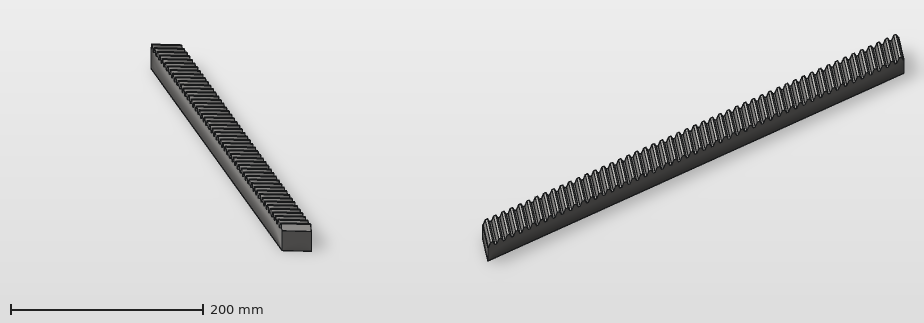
import cadquery as cq
import math

overall_length = 509.5
width = 29.0
height = 29.0
tooth_count = 50
helix_angle = 19.5
tooth_depth = 6.5
end_clearance = 0.3
land_width = 2.75
root_width = 2.15

end_shift = width * math.tan(math.radians(helix_angle))
face_length = overall_length - end_shift
pitch = (face_length + 2 * end_clearance) / tooth_count
flank_run = (pitch - land_width - root_width) / 2
root_z = height - tooth_depth


def tooth_points(index):
    """Points of one tooth, from the foot of its left flank to the foot of its right flank."""
    center = (index + 0.5) * pitch - end_clearance
    half_land = land_width / 2
    half_foot = half_land + flank_run
    return [
        (center - half_foot, root_z),
        (center - half_land, height),
        (center + half_land, height),
        (center + half_foot, root_z),
    ]


def rack_outline():
    """Front face outline; the rack starts and ends near the middle of a tooth gap."""
    points = [(0, 0), (0, root_z)]
    for index in range(tooth_count):
        points += tooth_points(index)
    points += [(face_length, root_z), (face_length, 0)]
    return cq.Workplane("XZ").polyline(points).close().val()


sweep = cq.Vector(end_shift, width, 0)
rack = cq.Solid.extrudeLinear(rack_outline(), [], sweep)
result = cq.Workplane("XY").newObject([rack])